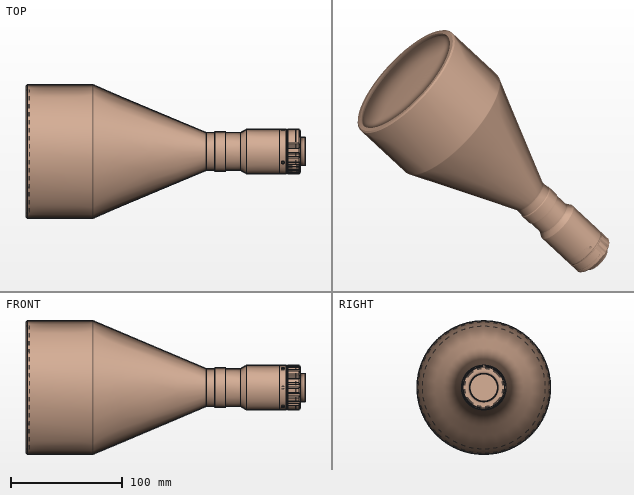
import cadquery as cq
import math


front_radius = 60.03
front_chamfer_length = 1.3
front_chamfer_depth = 1.3
cone_start = 59.6
cone_end = 161.0
cone_end_radius = 17.3
cone_blend_length = 0.3
neck_start = 161.7
neck_radius = 17.0
collar_start = 169.0
collar_bevel = 0.8
collar_end = 179.0
collar_radius = 17.8
shoulder_start = 192.5
barrel_start = 197.7
barrel_radius = 20.0

glass_radius = 55.1
glass_edge_x = 3.0
glass_apex_x = 1.5

mount_start = 227.3
band_end = 234.0
band_chamfer_length = 0.8
band_chamfer_depth = 0.5
ring_start = 235.0
ring_end = 246.0
ring_chamfer = 1.5
relief_depth = 0.8
mount_end = 250.6
thread_radius = 12.8
thread_chamfer = 0.5

screw_count = 3
screw_x = 230.3
screw_diameter = 2.5
screw_depth = 1.3

grip_count = 7
grip_pitch_angle = 25.0
grip_centre_angle = 150.0
grip_top_width = 5.8
grip_floor_width = 2.3
grip_depth = 1.0

slot_x = 241.9
slot_width = 0.8
slot_depth = 0.8
slot_sweep_angle = 184.0


def revolve_about_x(profile):
    """Turn a closed profile, drawn as (x, radius), into a solid about the X axis."""
    return profile.close().revolve(360, (0, 0, 0), (1, 0, 0))


def make_housing():
    dome_mid_radius = glass_radius / 2
    sag = glass_edge_x - glass_apex_x
    dome_radius = (glass_radius**2 + sag**2) / (2 * sag)
    dome_mid_x = glass_apex_x + dome_radius - math.sqrt(dome_radius**2 - dome_mid_radius**2)
    cone_corner_x = cone_start + cone_blend_length
    cone_angle = math.atan2(front_radius - cone_end_radius, cone_end - cone_corner_x)
    blend_end_x = cone_corner_x + cone_blend_length * math.cos(cone_angle)
    blend_end_radius = front_radius - cone_blend_length * math.sin(cone_angle)
    profile = (
        cq.Workplane("XZ")
        .moveTo(glass_apex_x, 0)
        .threePointArc((dome_mid_x, dome_mid_radius), (glass_edge_x, glass_radius))
        .lineTo(0, glass_radius)
        .lineTo(0, front_radius - front_chamfer_depth)
        .lineTo(front_chamfer_length, front_radius)
        .lineTo(cone_start, front_radius)
        .tangentArcPoint((blend_end_x, blend_end_radius), relative=False)
        .lineTo(cone_end, cone_end_radius)
        .lineTo(neck_start, neck_radius)
        .lineTo(collar_start, neck_radius)
        .lineTo(collar_start + collar_bevel, collar_radius)
        .lineTo(collar_end, collar_radius)
        .lineTo(collar_end, neck_radius)
        .lineTo(shoulder_start, neck_radius)
        .lineTo(barrel_start, barrel_radius)
        .lineTo(mount_start, barrel_radius)
        .lineTo(mount_start, 0)
    )
    return revolve_about_x(profile)


def make_mount_blank():
    relief_radius = barrel_radius - relief_depth
    profile = (
        cq.Workplane("XY")
        .moveTo(mount_start, 0)
        .lineTo(mount_start, barrel_radius)
        .lineTo(band_end - band_chamfer_length, barrel_radius)
        .lineTo(band_end, barrel_radius - band_chamfer_depth)
        .lineTo(band_end, relief_radius)
        .lineTo(ring_start, relief_radius)
        .lineTo(ring_start, barrel_radius)
        .lineTo(ring_end - ring_chamfer, barrel_radius)
        .lineTo(ring_end, barrel_radius - ring_chamfer)
        .lineTo(ring_end, thread_radius)
        .lineTo(mount_end - thread_chamfer, thread_radius)
        .lineTo(mount_end, thread_radius - thread_chamfer)
        .lineTo(mount_end, 0)
    )
    return revolve_about_x(profile)


def screw_hole(angle):
    """Blind radial hole in the band."""
    hole = (
        cq.Workplane("XZ", origin=(screw_x, barrel_radius - screw_depth, 0))
        .circle(screw_diameter / 2)
        .extrude(-2 * screw_depth)
    )
    return hole.rotate((0, 0, 0), (1, 0, 0), angle)


def grip_groove(angle):
    """Flat-floored groove with sloping sides, along the whole ring."""
    floor_radius = barrel_radius - grip_depth
    outer_half_width = grip_top_width - grip_floor_width / 2
    outer_radius = barrel_radius + grip_depth
    groove = (
        cq.Workplane("YZ", origin=(ring_start, 0, 0))
        .moveTo(floor_radius, -grip_floor_width / 2)
        .lineTo(outer_radius, -outer_half_width)
        .lineTo(outer_radius, outer_half_width)
        .lineTo(floor_radius, grip_floor_width / 2)
        .close()
        .extrude(ring_end - ring_start)
    )
    return groove.rotate((0, 0, 0), (1, 0, 0), angle)


def ring_slot():
    """Shallow slot round the plain side, centred opposite the grip grooves."""
    start_angle = grip_centre_angle + 180 - slot_sweep_angle / 2
    slot = (
        cq.Workplane("XY")
        .moveTo(slot_x - slot_width / 2, barrel_radius - slot_depth)
        .rect(slot_width, 2 * slot_depth, centered=False)
        .revolve(slot_sweep_angle, (0, 0, 0), (1, 0, 0))
    )
    return slot.rotate((0, 0, 0), (1, 0, 0), start_angle)


def make_mount():
    mount = make_mount_blank()
    for index in range(screw_count):
        mount = mount.cut(screw_hole(index * 360 / screw_count))
    first_grip_angle = grip_centre_angle - grip_pitch_angle * (grip_count - 1) / 2
    for index in range(grip_count):
        mount = mount.cut(grip_groove(first_grip_angle + index * grip_pitch_angle))
    return mount.cut(ring_slot())


housing = make_housing()
mount = make_mount()

result = cq.Compound.makeCompound([housing.val(), mount.val()])